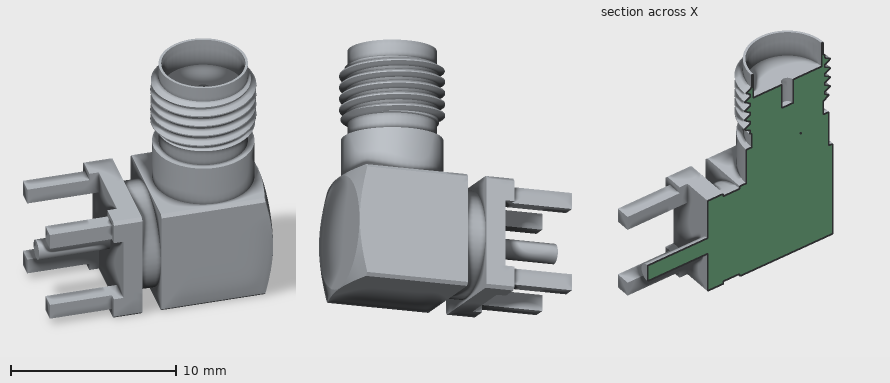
import cadquery as cq
import math


block_size = 7.0
block_back_y = 3.42
block_front_y = block_back_y - block_size
axis_height = block_size / 2
edge_chamfer = 0.2
rear_bevel_radius = 3.47
rear_bevel_angle = 20

collar_diameter = 6.65
collar_length = 1.2
plate_thickness = 1.2
foot_height = 0.6
foot_width = 1.46
leg_width = 1.0
leg_length = 3.89
contact_diameter = 1.25
collar_front_y = block_front_y - collar_length
plate_front_y = collar_front_y - plate_thickness
foot_front_y = plate_front_y - foot_height
leg_end_y = foot_front_y - leg_length

barrel_top_z = 15.2
shoulder_diameter = 6.2
shoulder_top_z = 9.6
neck_diameter = 5.41
bore_diameter = 5.09
bore_depth = 1.81
socket_diameter = 0.79
socket_depth = bore_depth

thread_bottom_z = 10.62
thread_top_z = 14.23
root_diameter = 5.62
crest_diameter = 6.41
thread_pitch = 0.705
crest_width = 0.08
flank_angle = 30
end_bevel_angle = 32
first_crest_z = 10.67
thread_overlap = 0.06
envelope_clearance = 0.3


def cylinder_z(diameter, bottom, top):
    return cq.Workplane("XY").workplane(offset=bottom).circle(diameter / 2).extrude(top - bottom)


def cylinder_y(diameter, back, front):
    plane = cq.Workplane("XZ", origin=(0, back, axis_height))
    return plane.circle(diameter / 2).extrude(back - front)


def square_bar(back, front):
    plane = cq.Workplane("XZ", origin=(0, back, axis_height))
    bar = plane.rect(block_size, block_size).extrude(back - front)
    return bar.edges("|Y").chamfer(edge_chamfer)


def make_block():
    """Square elbow block whose rear corners are turned to a shallow cone."""
    cone_front_radius = rear_bevel_radius + block_size / math.tan(math.radians(rear_bevel_angle))
    cone = cq.Solid.makeCone(
        rear_bevel_radius,
        cone_front_radius,
        block_size,
        pnt=cq.Vector(0, block_back_y, axis_height),
        dir=cq.Vector(0, -1, 0),
    )
    return square_bar(block_back_y, block_front_y).intersect(cq.Workplane(obj=cone))


def make_mount():
    """Collar, plate with raised corner feet, four square legs and round contact."""
    collar = cylinder_y(collar_diameter, block_front_y, collar_front_y)
    plate = square_bar(collar_front_y, foot_front_y)
    gap = block_size - 2 * foot_width
    face = cq.Workplane("XZ", origin=(0, plate_front_y, axis_height))
    plate = plate.cut(face.rect(gap, block_size).extrude(foot_height))
    plate = plate.cut(face.rect(block_size, gap).extrude(foot_height))
    leg_spacing = gap + leg_width
    legs = (
        face.rect(leg_spacing, leg_spacing, forConstruction=True)
        .vertices()
        .rect(leg_width, leg_width)
        .extrude(plate_front_y - leg_end_y)
    )
    contact = cylinder_y(contact_diameter, plate_front_y, leg_end_y)
    return collar.union(plate).union(legs).union(contact)


def make_thread():
    """Trapezoidal helical ridge, with both thread ends bevelled down to the neck."""
    root_radius = root_diameter / 2
    crest_radius = crest_diameter / 2
    inner_radius = root_radius - thread_overlap
    flank_rise = (crest_radius - inner_radius) * math.tan(math.radians(flank_angle))
    half_crest = crest_width / 2
    half_base = half_crest + flank_rise
    start_z = first_crest_z - thread_pitch
    turns = math.ceil((thread_top_z - start_z) / thread_pitch) + 1
    helix = cq.Wire.makeHelix(thread_pitch, turns * thread_pitch, root_radius)
    helix = helix.translate(cq.Vector(0, 0, start_z))
    profile = cq.Workplane("XZ").polyline([
        (inner_radius, start_z - half_base),
        (crest_radius, start_z - half_crest),
        (crest_radius, start_z + half_crest),
        (inner_radius, start_z + half_base),
    ]).close()
    ridge = profile.sweep(cq.Workplane(obj=helix), isFrenet=True)
    core = cylinder_z(root_diameter, thread_bottom_z, thread_top_z)
    neck_radius = neck_diameter / 2
    envelope_radius = crest_radius + envelope_clearance
    bevel_height = (envelope_radius - neck_radius) * math.tan(math.radians(end_bevel_angle))
    envelope = (
        cq.Workplane("XZ")
        .polyline([
            (0, thread_bottom_z),
            (neck_radius, thread_bottom_z),
            (envelope_radius, thread_bottom_z + bevel_height),
            (envelope_radius, thread_top_z - bevel_height),
            (neck_radius, thread_top_z),
            (0, thread_top_z),
        ])
        .close()
        .revolve(360, (0, 0), (0, 1))
    )
    return core.intersect(envelope).union(ridge.intersect(envelope))


def make_barrel():
    shoulder = cylinder_z(shoulder_diameter, axis_height, shoulder_top_z)
    neck = cylinder_z(neck_diameter, axis_height, barrel_top_z)
    barrel = make_thread().union(shoulder).union(neck)
    bore_floor_z = barrel_top_z - bore_depth
    bore = cylinder_z(bore_diameter, bore_floor_z, barrel_top_z)
    socket = cylinder_z(socket_diameter, bore_floor_z - socket_depth, bore_floor_z)
    return barrel.cut(bore).cut(socket)


result = make_block().union(make_mount()).union(make_barrel())